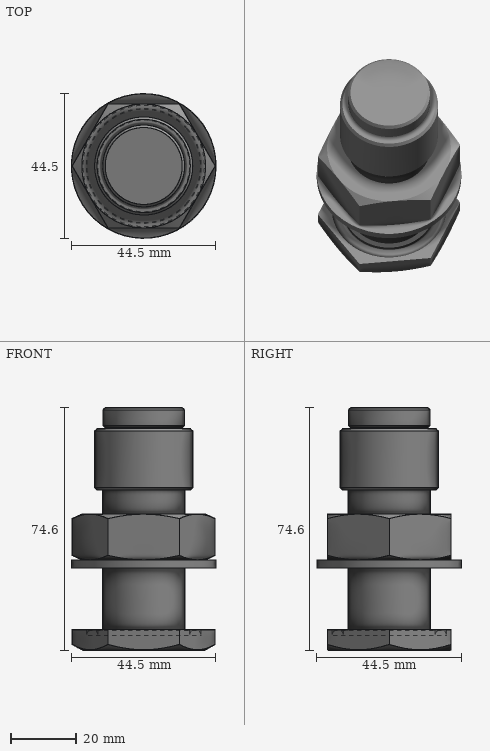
import cadquery as cq
import math

head_height = 6.4
washer_bottom = 25.3
washer_height = 2.5
nut_height = 14.0
sleeve_bottom = 49.2
sleeve_top = 68.1
knob_bottom = 68.4
total_height = 74.6
nut_bottom = washer_bottom + washer_height

shaft_diameter = 25.3
washer_diameter = 44.45
sleeve_diameter = 30.15
sleeve_chamfer = 0.75
knob_diameter = 25.15
knob_chamfer = 0.75
neck_diameter = knob_diameter - 2 * knob_chamfer

across_flats = 38.05
across_corners = across_flats / math.cos(math.radians(30))
nut_face_diameter = across_flats
nut_bevel_angle = 25.0
head_face_diameter = 37.3
head_bevel_angle = 29.0

groove_outer_diameter = 35.3
groove_inner_diameter = 28.2
groove_depth = 1.9
seal_outer_diameter = 34.9
seal_inner_diameter = 28.35
seal_recess = 0.3
seal_edge_radius = 1.1


def cylinder(diameter, bottom, top):
    return cq.Workplane("XY").workplane(offset=bottom).circle(diameter / 2).extrude(top - bottom)


def ring(outer_diameter, inner_diameter, bottom, top):
    return cylinder(outer_diameter, bottom, top).cut(cylinder(inner_diameter, bottom, top))


def bevel_envelope(height, face_diameter, angle, bevel_top):
    """Round body whose conical ends trim the corners of a hexagon of the given height."""
    face_radius = face_diameter / 2
    corner_radius = across_corners / 2
    bevel_height = (corner_radius - face_radius) * math.tan(math.radians(angle))
    profile = cq.Workplane("XZ").moveTo(0, 0).lineTo(face_radius, 0).lineTo(corner_radius, bevel_height)
    if bevel_top:
        profile = profile.lineTo(corner_radius, height - bevel_height).lineTo(face_radius, height)
    else:
        profile = profile.lineTo(corner_radius, height)
    return profile.lineTo(0, height).close().revolve(360, (0, 0, 0), (0, 1, 0))


def hexagon(height, face_diameter, angle, bevel_top):
    prism = cq.Workplane("XY").polygon(6, across_corners).extrude(height)
    return prism.intersect(bevel_envelope(height, face_diameter, angle, bevel_top))


def sealed_head():
    groove_floor = head_height - groove_depth
    head = hexagon(head_height, head_face_diameter, head_bevel_angle, bevel_top=False)
    groove = ring(groove_outer_diameter, groove_inner_diameter, groove_floor, head_height)
    seal = ring(seal_outer_diameter, seal_inner_diameter, groove_floor, head_height - seal_recess)
    seal = seal.faces(">Z").edges().fillet(seal_edge_radius)
    return head.cut(groove).union(seal)


def chamfered_cylinder(diameter, bottom, top, chamfer):
    return cylinder(diameter, bottom, top).faces("<Z or >Z").edges().chamfer(chamfer)


shaft = cylinder(shaft_diameter, head_height, sleeve_bottom)
washer = cylinder(washer_diameter, washer_bottom, nut_bottom)
nut = hexagon(nut_height, nut_face_diameter, nut_bevel_angle, bevel_top=True).translate((0, 0, nut_bottom))
sleeve = chamfered_cylinder(sleeve_diameter, sleeve_bottom, sleeve_top, sleeve_chamfer)
neck = cylinder(neck_diameter, sleeve_top, knob_bottom)
knob = chamfered_cylinder(knob_diameter, knob_bottom, total_height, knob_chamfer)

result = sealed_head()
for component in (shaft, washer, nut, sleeve, neck, knob):
    result = result.union(component)